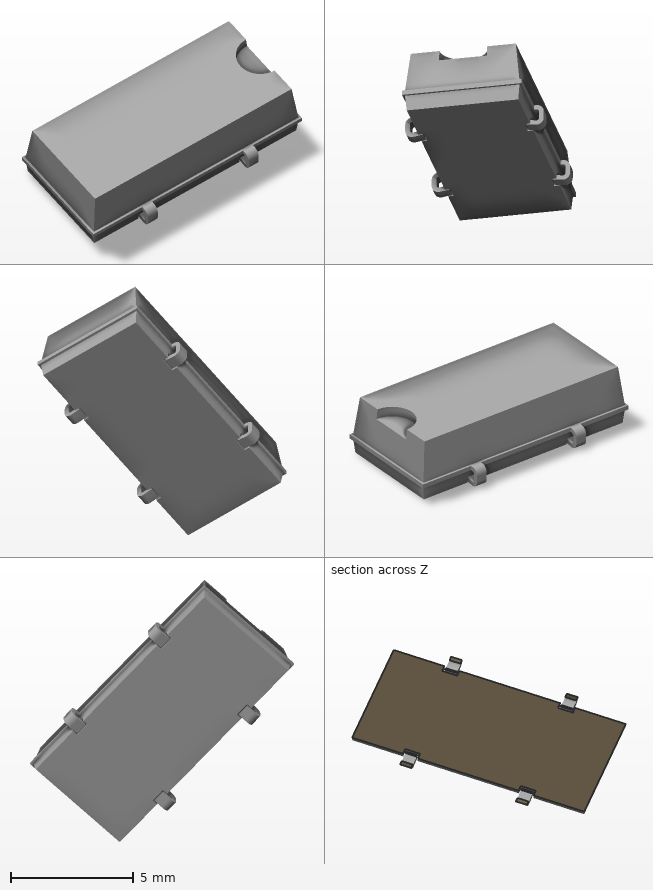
import cadquery as cq
import math

rim_width = 5.0
rim_length = 10.5
rim_thickness = 0.2

rim_ledge = 0.1
foot_width = rim_width - 2 * rim_ledge
foot_length = rim_length - 2 * rim_ledge
lid_height = 1.8
lid_inset = 0.2
base_inset = 0.065

notch_radius = 1.0
notch_depth = 0.45

lead_span = 5.8
lead_height = 0.9
lead_width = 0.5
lead_thickness = rim_thickness
lead_pitch = 5.08
bend_radius = 0.3
inner_bend_radius = bend_radius - lead_thickness
tip_angle = 9.0
tip_length = 0.4

pocket_clearance = 0.07
pocket_height = 0.34
pocket_depth = 0.3

stand_off = 0.05
rim_top = lead_height
rim_bottom = rim_top - rim_thickness
lid_top = rim_top + lid_height

lead_spots = [(side, y) for side in (-1, 1) for y in (-lead_pitch / 2, lead_pitch / 2)]


def tapered_block(start_z, end_z, inset):
    """Block that shrinks by `inset` on every side from start_z to end_z."""
    return (
        cq.Workplane("XY", origin=(0, 0, start_z))
        .rect(foot_width, foot_length)
        .workplane(offset=end_z - start_z)
        .rect(foot_width - 2 * inset, foot_length - 2 * inset)
        .loft(ruled=True)
    )


def make_lid():
    notch_center_y = foot_length / 2 - lid_inset
    notch = (
        cq.Workplane("XY", origin=(0, notch_center_y, lid_top - notch_depth))
        .circle(notch_radius)
        .extrude(notch_depth)
    )
    return tapered_block(rim_top, lid_top, lid_inset).cut(notch)


def make_base():
    base = tapered_block(rim_bottom, stand_off, base_inset)
    pocket = cq.Workplane("XY").box(
        2 * pocket_depth,
        lead_width + 2 * pocket_clearance,
        2 * pocket_height,
    )
    for side, y in lead_spots:
        base = base.cut(pocket.translate((side * foot_width / 2, y, 0)))
    return base


def make_rim():
    """Flat plate with an edge slot for each lead, as deep as the ledge beside the lid."""
    rim = cq.Workplane("XY", origin=(0, 0, rim_bottom)).rect(rim_width, rim_length).extrude(rim_thickness)
    slot = cq.Workplane("XY").box(2 * rim_ledge, lead_width, 2 * rim_thickness)
    for side, y in lead_spots:
        rim = rim.cut(slot.translate((side * rim_width / 2, y, rim_top)))
    return rim


def make_lead(side, y):
    """Strip that leaves the rim, bends down and curls back under, its tip rising slightly into the base."""
    lower_turn = 90 + tip_angle
    outer_x = lead_span / 2
    inner_x = outer_x - lead_thickness
    bend_x = outer_x - bend_radius
    upper_bend_z = lead_height - bend_radius
    lower_bend_z = bend_radius
    root_x = foot_width / 2

    def on_upper_bend(radius):
        return bend_x + radius * math.sqrt(0.5), upper_bend_z + radius * math.sqrt(0.5)

    def on_lower_bend(radius, turn):
        angle = math.radians(turn)
        return bend_x + radius * math.cos(angle), lower_bend_z - radius * math.sin(angle)

    def at_tip(radius):
        x, z = on_lower_bend(radius, lower_turn)
        rise = math.radians(tip_angle)
        return x - tip_length * math.cos(rise), z + tip_length * math.sin(rise)

    profile = (
        cq.Workplane("XZ")
        .moveTo(root_x, lead_height)
        .lineTo(bend_x, lead_height)
        .threePointArc(on_upper_bend(bend_radius), (outer_x, upper_bend_z))
        .lineTo(outer_x, lower_bend_z)
        .threePointArc(on_lower_bend(bend_radius, lower_turn / 2), on_lower_bend(bend_radius, lower_turn))
        .lineTo(*at_tip(bend_radius))
        .lineTo(*at_tip(inner_bend_radius))
        .lineTo(*on_lower_bend(inner_bend_radius, lower_turn))
        .threePointArc(on_lower_bend(inner_bend_radius, lower_turn / 2), (inner_x, lower_bend_z))
        .lineTo(inner_x, upper_bend_z)
        .threePointArc(on_upper_bend(inner_bend_radius), (bend_x, rim_bottom))
        .lineTo(root_x, rim_bottom)
        .close()
    )
    lead = profile.extrude(lead_width / 2, both=True)
    if side < 0:
        lead = lead.mirror("YZ")
    return lead.translate((0, y, 0))


lid = make_lid()
base = make_base()
rim = make_rim()
leads = [make_lead(side, y) for side, y in lead_spots]

result = cq.Compound.makeCompound([lid.val(), base.val(), rim.val(), *[lead.val() for lead in leads]])